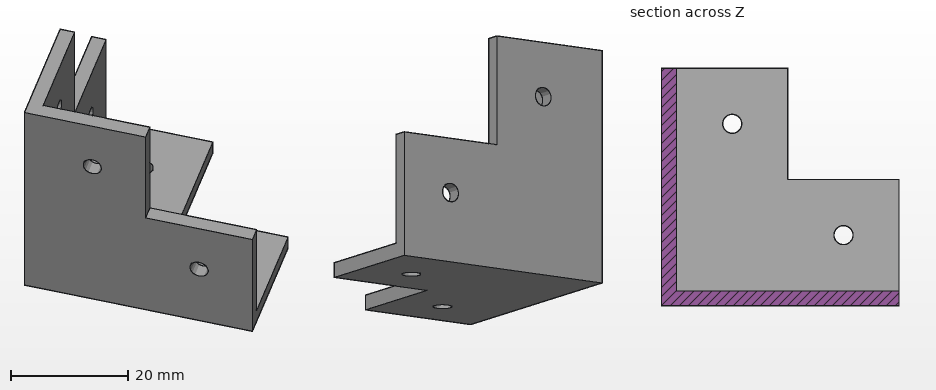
import cadquery as cq

plate_thickness = 2.6
arm_width = 19.0
hole_diameter = 3.2

shoulder = plate_thickness + arm_width
side = shoulder + arm_width
hole_near = plate_thickness + arm_width / 2
hole_far = side - arm_width / 2


def corner_plate(plane, inward):
    """L-shaped plate with one hole per arm, thickened along the plane normal times inward."""
    outline = [
        (0, 0),
        (side, 0),
        (side, shoulder),
        (shoulder, shoulder),
        (shoulder, side),
        (0, side),
    ]
    depth = inward * plate_thickness
    plate = cq.Workplane(plane).polyline(outline).close().extrude(depth)
    holes = (
        cq.Workplane(plane)
        .pushPoints([(hole_near, hole_far), (hole_far, hole_near)])
        .circle(hole_diameter / 2)
        .extrude(depth)
    )
    return plate.cut(holes)


base = corner_plate("XY", 1)
front_wall = corner_plate("XZ", -1)
side_wall = corner_plate("YZ", 1)

result = base.union(front_wall).union(side_wall)